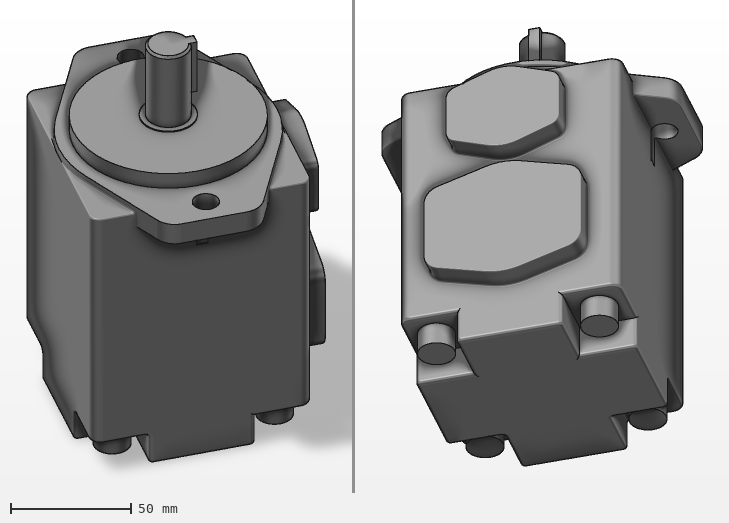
import cadquery as cq
import math

body_width = 96.0
body_height = 130.8
body_corner_radius = 5.0
half_body = body_width / 2

small_radius = 1.0
touch_tolerance = 0.0002

corners = [(side_x, side_y) for side_x in (-1, 1) for side_y in (-1, 1)]

pocket_wall = 23.0
pocket_height = 15.0
pocket_radius = 2.0
bolt_offset = 35.3
bolt_head_diameter = 15.9
bolt_head_bottom = 5.0

flange_top = 134.2
flange_thickness = 10.5
flange_length = 130.0
flange_round_radius = 47.5
flange_slope = 26.8
flange_corner_radius = 10.0
mount_hole_offset = 53.0
mount_hole_diameter = 11.2
mount_hole_depth = 25.3
pilot_diameter = 82.5
pilot_top = 141.7

collar_diameter = 24.3
collar_height = 0.5
shaft_diameter = 19.1
shaft_top = 178.5
shaft_chamfer = 1.0
key_width = 4.8
key_reach = 11.8
key_bottom = 153.2

port_thickness = 10.0
port_edge_radius = 0.5
inlet_height = 52.7
inlet_shape = dict(length=68.4, round_radius=27.8, slope=16.0, corner_radius=7.9)
outlet_height = 108.5
outlet_shape = dict(length=49.3, round_radius=20.0, slope=19.9, corner_radius=5.2)


def cylinder(diameter, bottom, top):
    """Upright cylinder on the shaft axis."""
    return cq.Workplane("XY").workplane(offset=bottom).circle(diameter / 2).extrude(top - bottom)


def oval_plate(length, round_radius, slope, corner_radius, thickness):
    """Two-wing plate: a central round, sloping flanks tangent to it and rounded ends."""
    angle = math.radians(slope)
    end = length / 2
    round_x = round_radius * math.sin(angle)
    round_y = round_radius * math.cos(angle)
    tip_y = (round_radius - end * math.sin(angle)) / math.cos(angle)
    outline = (
        cq.Workplane("XY")
        .moveTo(-round_x, round_y)
        .threePointArc((0, round_radius), (round_x, round_y))
        .lineTo(end, tip_y)
        .lineTo(end, -tip_y)
        .lineTo(round_x, -round_y)
        .threePointArc((0, -round_radius), (-round_x, -round_y))
        .lineTo(-end, -tip_y)
        .lineTo(-end, tip_y)
        .close()
    )
    plate = outline.extrude(thickness)
    return plate.faces("<X or >X").edges("|Z").fillet(corner_radius)


def pocket_cutter(side_x, side_y):
    """Block that opens one foot corner; the two -Y pockets have rounded inner edges."""
    cutter = cq.Workplane("XY").box(body_width, body_width, body_height, centered=False)
    if side_y < 0:
        cutter = cutter.edges("(<X and <Y) or (<X and >Z) or (<Y and >Z)").fillet(pocket_radius)
    cutter = cutter.translate((pocket_wall, pocket_wall, pocket_height - body_height))
    if side_x < 0:
        cutter = cutter.mirror("YZ")
    if side_y < 0:
        cutter = cutter.mirror("XZ")
    return cutter


def join_with_cove(base, addition):
    """Unite two solids and round the inside corner along the seam where they meet."""
    joined = base.union(addition)
    skins = [part.val().Shells()[0] for part in (base, addition)]
    seam = []
    for edge in joined.edges().vals():
        middle = cq.Vertex.makeVertex(*edge.positionAt(0.5).toTuple())
        if all(skin.distance(middle) < touch_tolerance for skin in skins):
            seam.append(edge)
    return joined.newObject(seam).fillet(small_radius)


def make_body():
    """Rounded block with foot pockets and softened top and bottom rims."""
    block = cq.Workplane("XY").box(body_width, body_width, body_height, centered=(True, True, False))
    block = block.edges("|Z").fillet(body_corner_radius)
    for side_x, side_y in corners:
        block = block.cut(pocket_cutter(side_x, side_y))
    above_pockets = cq.selectors.BoxSelector(
        (-body_width, -body_width, body_height / 3), (body_width, body_width, body_height)
    )
    below_ceiling = cq.selectors.BoxSelector(
        (-body_width, -body_width, -small_radius), (body_width, body_width, pocket_height + small_radius)
    )
    upright_rim = block.faces(above_pockets).edges(below_ceiling)
    block = upright_rim.add(block.faces("<Z").edges()).fillet(pocket_radius)
    return block.faces(">Z").edges().fillet(small_radius)


def make_flange():
    """Two-bolt flange with its lower rim rounded."""
    plate = oval_plate(
        flange_length, flange_round_radius, flange_slope, flange_corner_radius, flange_thickness
    )
    plate = plate.faces("<Z").edges().fillet(small_radius)
    return plate.translate((0, 0, flange_top - flange_thickness))


def make_shaft():
    """Shaft with seal collar and a flat key on its +Y side."""
    collar = cylinder(collar_diameter, pilot_top, pilot_top + collar_height)
    shaft = cylinder(shaft_diameter, pilot_top, shaft_top).faces(">Z").chamfer(shaft_chamfer)
    key_length = shaft_top - key_bottom
    key = cq.Workplane("XY").box(key_width, key_reach, key_length, centered=(True, False, False))
    return shaft.union(collar).union(key.translate((0, 0, key_bottom)))


def make_port(height, shape):
    """Port flange standing on the +Y face with its outer rim rounded."""
    plate = oval_plate(thickness=port_thickness, **shape)
    plate = plate.faces(">Z").edges().fillet(port_edge_radius)
    return plate.rotate((0, 0, 0), (1, 0, 0), -90).translate((0, half_body, height))


result = join_with_cove(make_body(), make_flange())
result = join_with_cove(result, make_port(inlet_height, inlet_shape))
result = join_with_cove(result, make_port(outlet_height, outlet_shape))
result = result.union(cylinder(pilot_diameter, flange_top, pilot_top))
result = result.union(make_shaft())

for side_x, side_y in corners:
    head = cylinder(bolt_head_diameter, bolt_head_bottom, pocket_height)
    result = result.union(head.translate((side_x * bolt_offset, side_y * bolt_offset, 0)))

for side_x in (-1, 1):
    hole = cylinder(mount_hole_diameter, flange_top - mount_hole_depth, flange_top)
    result = result.cut(hole.translate((side_x * mount_hole_offset, 0, 0)))